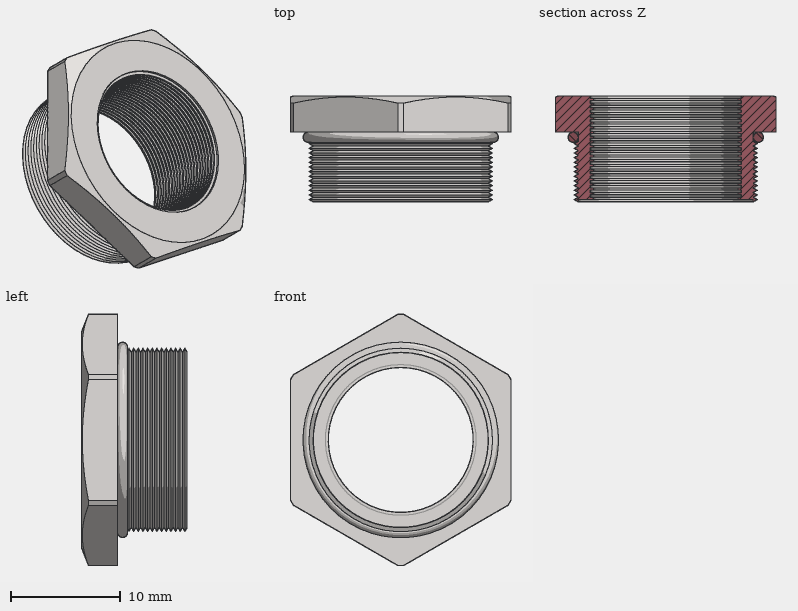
import cadquery as cq
import math


across_flats = 20.07
across_corners = 22.88
head_thickness = 3.3
bevel_start_diameter = 19.6
bevel_depth = 0.65

total_length = 9.64
shank_length = total_length - head_thickness
neck_radius = 7.98
neck_length = 0.83
outer_tooth_count = 13
outer_pitch = (shank_length - neck_length) / outer_tooth_count

half_tooth_angle = math.radians(30)

recess_radius = 7.95
recess_depth = outer_pitch / 2

bore_major_radius = 6.86
bore_minor_radius = 6.58
bore_tooth_count = 22
bore_pitch = (head_thickness + shank_length - recess_depth) / bore_tooth_count
steep_flank_angle = math.radians(3)

ring_section_radius = 0.46
ring_center_radius = neck_radius + ring_section_radius


def tooth_depth(pitch):
    """Height of a sharp V tooth whose base fills one pitch."""
    return pitch / 2 / math.tan(half_tooth_angle)


def zigzag(start_y, pitch, count, base_radius, tip_radius):
    """(y, radius) points of a row of V teeth running toward -Y, starting and ending on the base."""
    points = [(start_y, base_radius)]
    for i in range(count):
        points.append((start_y - (i + 0.5) * pitch, tip_radius))
        points.append((start_y - (i + 1) * pitch, base_radius))
    return points


def turn(outline):
    """Solid of revolution about the Y axis from an outline of (y, radius) points."""
    return cq.Workplane("YZ").polyline(outline).close().revolve(360, (0, 0, 0), (1, 0, 0))


def make_head():
    """Hexagon with flats facing +X and -X, turned corners and a conical bevel on the outer face."""
    sharp_corners = across_flats / math.cos(math.radians(30))
    prism = (
        cq.Workplane("XZ")
        .transformed(rotate=(0, 0, 30))
        .polygon(6, sharp_corners)
        .extrude(-head_thickness)
    )
    corner_radius = across_corners / 2
    blank = turn([
        (0, 0),
        (0, corner_radius),
        (head_thickness - bevel_depth, corner_radius),
        (head_thickness, bevel_start_diameter / 2),
        (head_thickness, 0),
    ])
    return prism.intersect(blank)


def make_shank():
    """Plain neck followed by the external thread."""
    crest_radius = neck_radius + tooth_depth(outer_pitch)
    teeth = zigzag(-neck_length, outer_pitch, outer_tooth_count, neck_radius, crest_radius)
    return turn([(0, 0), (0, neck_radius)] + teeth + [(-shank_length, 0)])


def make_bore():
    """Material removed by the through bore with nearly square teeth, half a pitch wide at the base."""
    flank_run = (bore_major_radius - bore_minor_radius) * math.tan(steep_flank_angle)
    mouth_y = recess_depth - shank_length
    outline = [(mouth_y, 0)]
    for i in range(bore_tooth_count):
        start_y = mouth_y + i * bore_pitch
        end_y = start_y + bore_pitch / 2
        outline += [
            (start_y, bore_major_radius),
            (start_y + flank_run, bore_minor_radius),
            (end_y - flank_run, bore_minor_radius),
            (end_y, bore_major_radius),
        ]
    outline += [(head_thickness, bore_major_radius), (head_thickness, 0)]
    return turn(outline)


def make_recess():
    """Material removed from the shank end to set its face back."""
    return turn([
        (-shank_length, 0),
        (-shank_length, recess_radius),
        (recess_depth - shank_length, recess_radius),
        (recess_depth - shank_length, 0),
    ])


def make_fitting():
    """Hexagonal threaded fitting, one solid."""
    return make_head().union(make_shank()).cut(make_recess()).cut(make_bore())


def make_sealing_ring():
    """Round-section ring touching the head face and the neck."""
    return (
        cq.Workplane("YZ")
        .center(-ring_section_radius, ring_center_radius)
        .circle(ring_section_radius)
        .revolve(360, (0, -ring_center_radius, 0), (1, -ring_center_radius, 0))
    )


fitting = make_fitting()
sealing_ring = make_sealing_ring()

result = cq.Compound.makeCompound([fitting.val(), sealing_ring.val()])